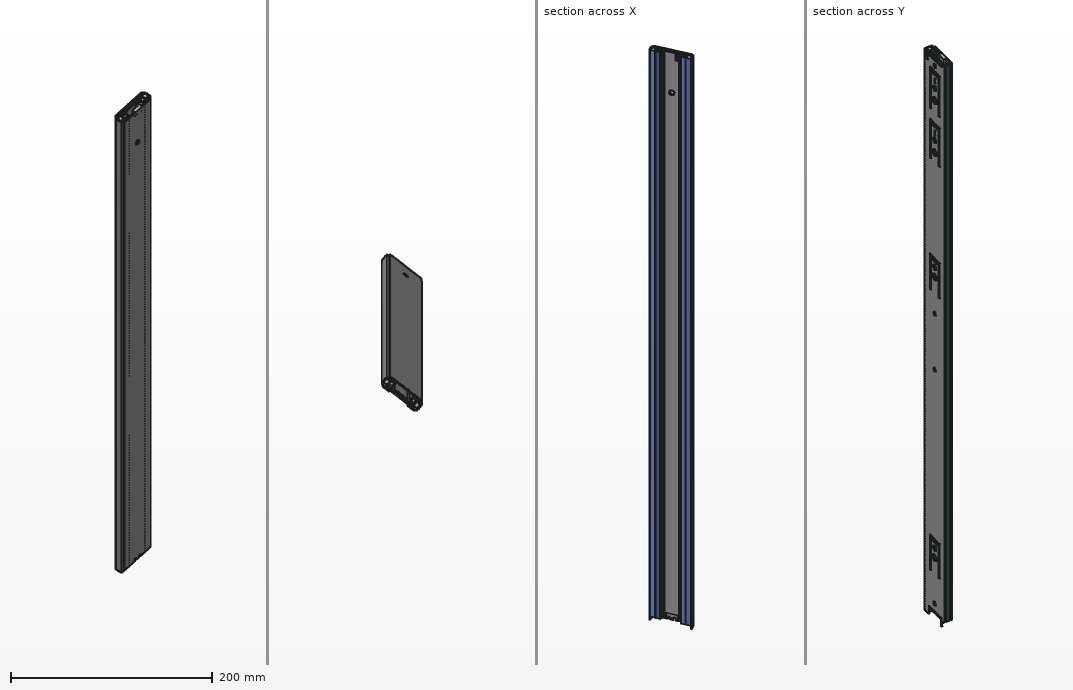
import cadquery as cq


length = 700.0
depth = 12.5
width = 45.5
top = length / 2
bottom = -length / 2
back = -depth / 2
front = depth / 2

sheet = 1.2
outer_front = 4.0
outer_chamfer_depth = 2.0
outer_back_width = 40.0
outer_shoulder = 45.0
outer_mouth = 35.0
back_gap = 0.9
middle_back = back + sheet + back_gap
middle_front = 3.5
middle_width = 33.5
web_step = 1.5
step_inner = 8.0
step_outer = 10.0
inner_back = -1.5
inner_width = 24.0
inner_flange_width = 40.0
end_setback = 3.5
moving_bottom = bottom + end_setback

outer_cage_back = -3.0
outer_cage_front = 2.0
outer_cage_reach = outer_shoulder / 2 - sheet
inner_cage_back = -1.0
inner_cage_front = 3.0

end_notch_width = 23.0
end_notch_height = 10.0
corner_window = 4.0
corner_window_y = 15.5
corner_window_z = 344.5
screw_hole = 4.55
screw_hole_heights = [343.0, 33.0, -37.0, -330.0]

tab_slot_width = 19.0
tab_leg = 2.0
tab_head = 4.0
tab_hole = 6.0
tab_lower_hole = 8.0
tab_key_width = 2.0
tab_key_height = 5.5
long_tabs = [(336.0, 51.0), (271.0, 48.0)]
short_tabs = [(102.0, 44.0), (-249.0, 43.5)]
long_key_drop = 12.0
long_hole_drop = 21.0
long_lower_drop = 36.5
short_hole_drop = 11.0
short_lower_drop = 23.0

sight_hole = 5.5
sight_hole_z = 300.0
end_slit_width = 2.0
end_slit_height = 3.0
end_slit_y = 3.15
ramp_width = 12.5
ramp_top = -340.0
ramp_height = 5.0
ramp_rise = 1.75
stop_bar_back = 2.0
stop_bar_low = -3.5
stop_bar_high = 7.0
stop_leg_back = -1.5
stop_leg_thickness = 2.0
stop_height = 7.0


def block(x_range, y_range, z_range):
    """Box between pairs of limits."""
    size = [high - low for low, high in (x_range, y_range, z_range)]
    origin = (x_range[0], y_range[0], z_range[0])
    return cq.Workplane("XY").box(*size, centered=False).translate(origin)


def hole(diameter, z):
    """Round cutter along X on the centreline, right through the slide."""
    return cq.Workplane("YZ", origin=(back, 0, 0)).center(0, z).circle(diameter / 2).extrude(depth)


def back_window(y_size, z_size, y, z):
    """Rectangular cutter through the back of the outer rail only."""
    sketch = cq.Workplane("YZ", origin=(back, 0, 0)).center(y, z).rect(y_size, z_size)
    return sketch.extrude(sheet)


def back_hole(diameter, z):
    """Round cutter through the back of the outer rail only."""
    return cq.Workplane("YZ", origin=(back, 0, 0)).center(0, z).circle(diameter / 2).extrude(sheet)


def tab_slot(z_top, height):
    """U-shaped cutter, open downwards, that frees a mounting tab."""
    slot = back_window(tab_slot_width, height, 0, z_top - height / 2)
    tab_height = height - tab_head
    tab = back_window(tab_slot_width - 2 * tab_leg, tab_height, 0, z_top - tab_head - tab_height / 2)
    return slot.cut(tab)


def outer_rail():
    """Wide C channel with chamfered back corners and bulged sides, open to +X."""
    half = width / 2
    shoulder = outer_shoulder / 2
    bulge_start = back + outer_chamfer_depth
    bulge_middle = (bulge_start + outer_front) / 2
    outline = (
        cq.Workplane("XY", origin=(0, 0, bottom))
        .moveTo(back, -outer_back_width / 2)
        .lineTo(back, outer_back_width / 2)
        .lineTo(bulge_start, shoulder)
        .threePointArc((bulge_middle, half), (outer_front, shoulder))
        .lineTo(outer_front, -shoulder)
        .threePointArc((bulge_middle, -half), (bulge_start, -shoulder))
        .close()
    )
    rail = outline.extrude(length)
    inside = rail.faces(">Z").wires().toPending().offset2D(-sheet).extrude(-length, combine=False)
    mouth = block((0, front), (-outer_mouth / 2, outer_mouth / 2), (bottom, top))
    rail = rail.cut(inside).cut(mouth)

    rail = rail.cut(back_window(end_notch_width, end_notch_height, 0, bottom + end_notch_height / 2))
    for side in (-1, 1):
        rail = rail.cut(back_window(corner_window, corner_window, side * corner_window_y, corner_window_z))
    for z in screw_hole_heights:
        rail = rail.cut(back_hole(screw_hole, z))

    for z_top, height in long_tabs:
        rail = rail.cut(tab_slot(z_top, height))
        rail = rail.cut(back_window(tab_key_width, tab_key_height, 0, z_top - long_key_drop))
        rail = rail.cut(back_hole(tab_hole, z_top - long_hole_drop))
        rail = rail.cut(back_hole(tab_lower_hole, z_top - long_lower_drop))
    for z_top, height in short_tabs:
        rail = rail.cut(tab_slot(z_top, height))
        rail = rail.cut(back_hole(tab_hole, z_top - short_hole_drop))
        rail = rail.cut(back_hole(tab_lower_hole, z_top - short_lower_drop))
    return rail


def end_slits():
    """Pair of narrow cutters at the lower end of the moving rails."""
    slits = cq.Workplane("XY")
    for side in (-1, 1):
        y = side * end_slit_y
        slits = slits.union(block(
            (back, front),
            (y - end_slit_width / 2, y + end_slit_width / 2),
            (moving_bottom, moving_bottom + end_slit_height),
        ))
    return slits


def middle_rail():
    """C channel open to +X, its web stepped forward at the centre."""
    half = middle_width / 2
    web_back = middle_back + web_step
    half_outline = [
        (web_back, 0),
        (web_back, step_inner),
        (middle_back, step_outer),
        (middle_back, half),
        (middle_front, half),
        (middle_front, half - sheet),
        (middle_back + sheet, half - sheet),
        (middle_back + sheet, step_outer),
        (web_back + sheet, step_inner),
        (web_back + sheet, 0),
    ]
    upper = cq.Workplane("XY", origin=(0, 0, moving_bottom)).polyline(half_outline).close()
    upper = upper.extrude(top - moving_bottom)
    rail = upper.union(upper.mirror("XZ"))

    ramp_outline = [(web_back, ramp_top - ramp_height), (web_back - ramp_rise, ramp_top), (web_back, ramp_top)]
    ramp = cq.Workplane("XZ").polyline(ramp_outline).close().extrude(ramp_width / 2, both=True)
    rail = rail.union(ramp)
    return rail.cut(end_slits()).cut(hole(sight_hole, sight_hole_z))


def inner_rail():
    """Narrow C channel open to -X, with a wide flat front and a bent stop at its upper end."""
    half = inner_width / 2
    flange_half = inner_flange_width / 2
    rail = block((inner_back, front), (-half, half), (moving_bottom, top))
    rail = rail.union(block((front - sheet, front), (-flange_half, flange_half), (moving_bottom, top)))
    inside = block((inner_back, front - sheet), (-half + sheet, half - sheet), (moving_bottom, top))
    rail = rail.cut(inside).cut(end_slits()).cut(hole(sight_hole, sight_hole_z))

    stop_z = (top - stop_height, top)
    bar = block((stop_bar_back, front - sheet), (stop_bar_low, stop_bar_high), stop_z)
    leg = block((stop_leg_back, stop_bar_back), (stop_bar_high - stop_leg_thickness, stop_bar_high), stop_z)
    return rail.union(bar).union(leg)


def ball_cage(side, y_near, y_far, x_range):
    """Strip filling the ball track between two rails on one side (side is -1 or 1)."""
    y_range = sorted((side * y_near, side * y_far))
    return block(x_range, y_range, (moving_bottom, top))


outer_cages = []
inner_cages = []
for side in (-1, 1):
    outer_cages.append(ball_cage(
        side, middle_width / 2, outer_cage_reach, (outer_cage_back, outer_cage_front)
    ).val())
    inner_cages.append(ball_cage(
        side, inner_width / 2, middle_width / 2 - sheet, (inner_cage_back, inner_cage_front)
    ).val())

result = cq.Compound.makeCompound([
    outer_rail().val(),
    middle_rail().val(),
    inner_rail().val(),
    *outer_cages,
    *inner_cages,
])